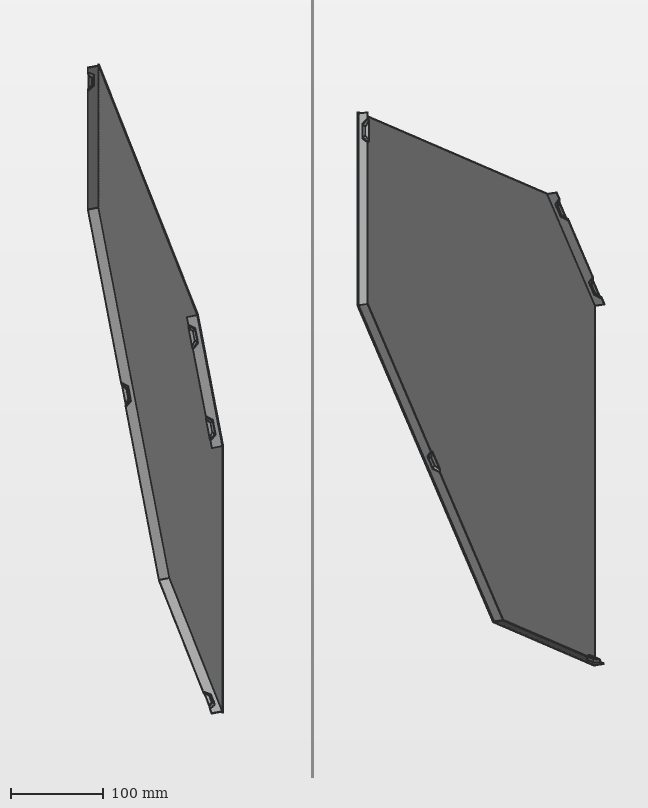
import cadquery as cq
import math

side = 504.0
depth = 12.5
sheet = 1.0
large_cut = 288.5
small_cut = 102.0
open_gap = 1.5

dimple_length = 25.0
dimple_height = 6.0
dimple_slope = 5.5
dimple_depth = 2.5
dimple_draft = 2.0
dimple_inset = 21.5

upper_left = (0, side)
left_corner = (0, large_cut)
bottom_corner = (large_cut, 0)
lower_right = (side, 0)
right_corner = (side, side - small_cut)
top_corner = (side - small_cut, side)
outline = [upper_left, left_corner, bottom_corner, lower_right, right_corner, top_corner]


def edge_length(start, end):
    return math.dist(start, end)


def edge_plane(start, end):
    """Plane on an edge: local x along it, local y toward the plate, local z into the tray."""
    along_x = (end[0] - start[0]) / edge_length(start, end)
    along_z = (end[1] - start[1]) / edge_length(start, end)
    return cq.Plane(
        origin=(start[0], 0, start[1]),
        xDir=(along_x, 0, along_z),
        normal=(-along_z, 0, along_x),
    )


def flange(start, end, start_gap=0.0, end_gap=0.0):
    length = edge_length(start, end) - start_gap - end_gap
    return (
        cq.Workplane(edge_plane(start, end))
        .center(start_gap, 0)
        .rect(length, depth, centered=False)
        .extrude(sheet)
    )


def dimple_form(start, end, center, offset, grow):
    """Tapered trapezoid whose base lies at the given offset inward from the flange face."""
    def trapezoid(shrink):
        half = dimple_length / 2 + grow - shrink
        top = dimple_height + grow - shrink
        half_top = half - dimple_slope
        return [
            (center - half, 0),
            (center + half, 0),
            (center + half_top, top),
            (center - half_top, top),
        ]

    return (
        cq.Workplane(edge_plane(start, end))
        .workplane(offset=offset)
        .polyline(trapezoid(0)).close()
        .workplane(offset=dimple_depth)
        .polyline(trapezoid(dimple_draft)).close()
        .loft(ruled=True)
    )


def add_dimple(body, start, end, center):
    shell = dimple_form(start, end, center, sheet, sheet)
    hollow = dimple_form(start, end, center, 0, 0)
    return body.union(shell).cut(hollow)


result = (
    cq.Workplane("XZ", origin=(0, depth, 0))
    .polyline(outline).close()
    .extrude(sheet)
)

envelope = (
    cq.Workplane("XZ", origin=(0, depth, 0))
    .polyline(outline).close()
    .extrude(depth)
)
flanges = (
    flange(upper_left, left_corner, start_gap=open_gap)
    .union(flange(left_corner, bottom_corner))
    .union(flange(bottom_corner, lower_right, end_gap=open_gap))
    .union(flange(right_corner, top_corner))
    .intersect(envelope)
)
result = result.union(flanges)

large_length = edge_length(left_corner, bottom_corner)
small_length = edge_length(right_corner, top_corner)
dimples = [
    (upper_left, left_corner, dimple_inset),
    (left_corner, bottom_corner, large_length / 2),
    (bottom_corner, lower_right, side - large_cut - dimple_inset),
    (right_corner, top_corner, dimple_inset),
    (right_corner, top_corner, small_length - dimple_inset),
]
for start, end, center in dimples:
    result = add_dimple(result, start, end, center)